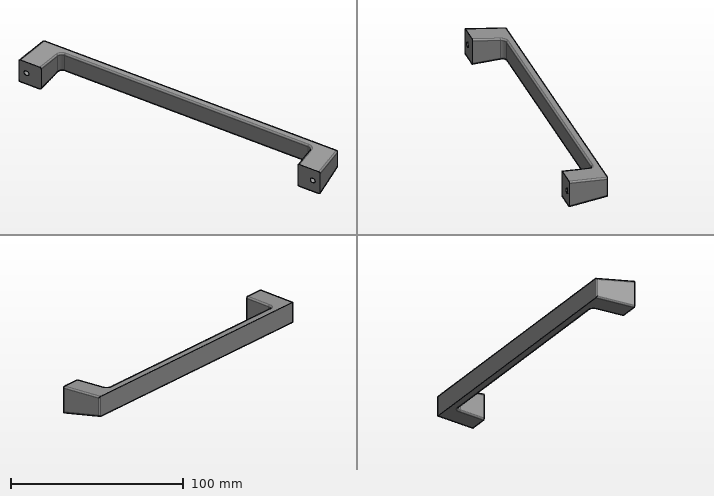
import cadquery as cq
import math

length = 202.0
depth = 24.0
foot_height = 16.5
foot_width = 15.0
bar_thickness = 4.8
draft_angle = 5.0
inner_radius = 3.0
edge_round = 1.0
back_end_round = 0.8
hole_spacing = 192.0
hole_diameter = 3.2
hole_depth = 12.1
drill_point_angle = 118.0

front_y = -depth / 2
back_y = depth / 2
bar_front_y = back_y - bar_thickness
slope = math.tan(math.radians(draft_angle))


def tapered_block():
    """Solid block shrinking on all four sides from the foot face to the back."""
    return (
        cq.Workplane("XZ", origin=(0, front_y, 0))
        .transformed(rotate=(180, 0, 0))
        .rect(length, foot_height)
        .extrude(depth, taper=draft_angle)
    )


def opening():
    """Space between the feet, narrowing toward the bar."""
    half_front = length / 2 - foot_width
    half_back = half_front - (bar_front_y - front_y) * slope
    return (
        cq.Workplane("XY", origin=(0, 0, -foot_height))
        .moveTo(-half_front, front_y)
        .lineTo(-half_back, bar_front_y)
        .lineTo(half_back, bar_front_y)
        .lineTo(half_front, front_y)
        .close()
        .extrude(2 * foot_height)
        .edges("|Z and >Y")
        .fillet(inner_radius)
    )


def rounded_plan():
    """Upright prism with the handle's outer plan and rounded back corners."""
    half_back = length / 2 - depth * slope
    return (
        cq.Workplane("XY", origin=(0, 0, -foot_height))
        .moveTo(-length / 2, front_y)
        .lineTo(-half_back, back_y)
        .lineTo(half_back, back_y)
        .lineTo(length / 2, front_y)
        .close()
        .extrude(2 * foot_height)
        .edges("|Z and >Y")
        .fillet(back_end_round)
    )


def screw_hole(x):
    """Blind hole with a conical drill point, entering from a foot face."""
    radius = hole_diameter / 2
    point_length = radius / math.tan(math.radians(drill_point_angle / 2))
    return (
        cq.Workplane("XY")
        .moveTo(x, front_y)
        .lineTo(x + radius, front_y)
        .lineTo(x + radius, front_y + hole_depth)
        .lineTo(x, front_y + hole_depth + point_length)
        .close()
        .revolve(360, (x, front_y, 0), (x, back_y, 0))
    )


handle = tapered_block().cut(opening())
handle = handle.edges("not(<Y or >Y or |Z)").fillet(edge_round)
handle = handle.intersect(rounded_plan())

for side in (-1, 1):
    handle = handle.cut(screw_hole(side * hole_spacing / 2))

result = handle